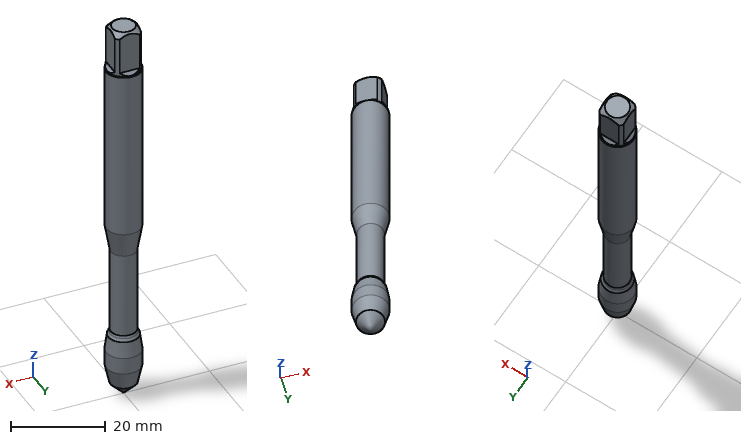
import cadquery as cq

total_length = 93.0
shank_diameter = 8.1
neck_diameter = 6.0

drive_corner_diameter = 7.7
drive_across_flats = 6.1
drive_top_diameter = 5.3
flats_bottom = 83.4
shoulder_chamfer = (shank_diameter - drive_corner_diameter) / 2
shoulder_bottom = 82.3

taper_top = 42.7
taper_bottom = 36.6

head_top = 16.4
collar_bottom = 15.8
collar_diameter = 6.3
upper_cone_top = 15.1
upper_cone_diameter = 7.1
band_top = 11.35
band_bottom = 7.4
point_diameter = 6.1
point_height = point_diameter / 2


def revolve_profile(points):
    """Revolve a closed outline of (radius, height) points about Z."""
    return cq.Workplane("XZ").polyline(points).close().revolve(360, (0, 0, 0), (0, 1, 0))


def make_flat_cutter():
    """Tool that cuts one flat on the -Y side, with a 45 degree run-out at its lower end."""
    flat = drive_across_flats / 2
    reach = shank_diameter
    runout = reach - flat
    top = total_length + 0.9
    return (
        cq.Workplane("YZ")
        .polyline([
            (-flat, flats_bottom),
            (-flat, top),
            (-reach, top),
            (-reach, flats_bottom - runout),
        ])
        .close()
        .extrude(shank_diameter, both=True)
    )


def make_shank():
    """Neck, taper, shank and square drive in one piece."""
    shank_radius = shank_diameter / 2
    neck_radius = neck_diameter / 2
    drive_radius = drive_corner_diameter / 2
    drive_top_radius = drive_top_diameter / 2
    drive_chamfer = drive_radius - drive_top_radius
    body = revolve_profile([
        (0, head_top),
        (neck_radius, head_top),
        (neck_radius, taper_bottom),
        (shank_radius, taper_top),
        (shank_radius, shoulder_bottom),
        (drive_radius, shoulder_bottom + shoulder_chamfer),
        (drive_radius, total_length - drive_chamfer),
        (drive_top_radius, total_length),
        (0, total_length),
    ])
    cutter = make_flat_cutter()
    for side in range(4):
        body = body.cut(cutter.rotate((0, 0, 0), (0, 0, 1), 90 * side))
    return body


def make_head():
    """Barrel-shaped cutting head with a short flared collar and a conical point."""
    band_radius = shank_diameter / 2
    return revolve_profile([
        (0, 0),
        (point_diameter / 2, point_height),
        (band_radius, band_bottom),
        (band_radius, band_top),
        (upper_cone_diameter / 2, upper_cone_top),
        (collar_diameter / 2, collar_bottom),
        (neck_diameter / 2, head_top),
        (0, head_top),
    ])


shank = make_shank()
head = make_head()
result = cq.Compound.makeCompound([shank.val(), head.val()])